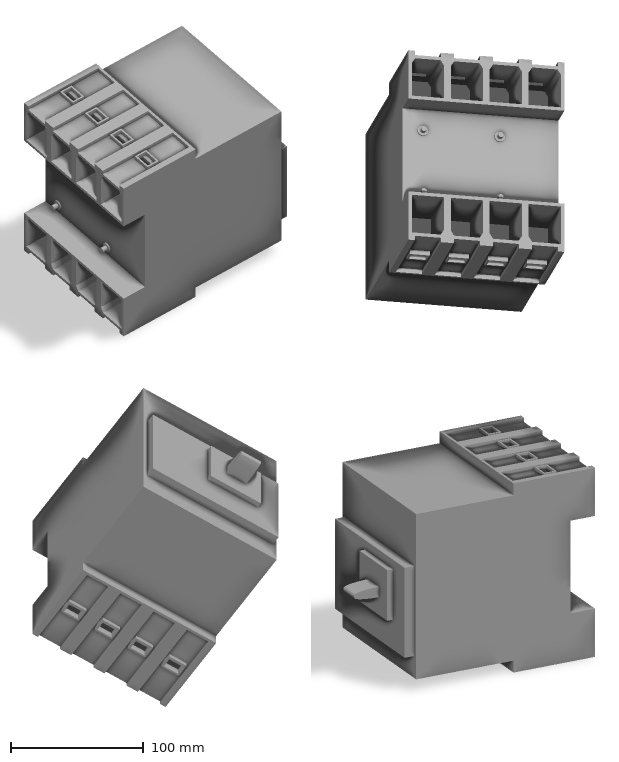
import cadquery as cq


TOTAL_LENGTH = 185.5
WIDTH = 120.0
BASE_HEIGHT = 153.0
BASE_DEPTH = 69.2

RECESS_HEIGHT = 75.0
RECESS_DEPTH = 20.6

POLE_COUNT = 4
POLE_PITCH = WIDTH / POLE_COUNT
WALL = 2.6
POCKET_WIDTH = POLE_PITCH - 2 * WALL
POCKET_DEPTH = 46.4
POCKET_CHAMFER_X = WALL
POCKET_CHAMFER_Z = 4.0

GROOVE_WIDTH = 20.0
GROOVE_DEPTH = 3.5
GROOVE_LENGTH = 67.2
GROOVE_FLOOR_Z = BASE_HEIGHT / 2 - GROOVE_DEPTH

WELL_WIDTH = 15.4
WELL_START = 28.8
WELL_END = 39.7
WELL_WALL = 1.37
WELL_INNER_WIDTH = WELL_WIDTH - 2 * WELL_WALL
WELL_LEDGE = 2.8

POCKET_OUTER_Z = GROOVE_FLOOR_Z - WALL
POCKET_INNER_Z = RECESS_HEIGHT / 2 + WALL

SCREW_SPACING_X = 59.2
SCREW_SPACING_Z = 50.1
SCREW_CENTRE_X = -15.0
SCREW_CENTRE_Z = -4.8
COLLAR_DIAMETER = 7.8
COLLAR_HEIGHT = 1.3
SHANK_DIAMETER = 4.0
SCREW_HEIGHT = 5.5

CASE_HEIGHT = 133.8
CASE_END = 151.8
COVER_THICKNESS = 2.0
COVER_LIP_HEIGHT = 16.9

BEZEL_WIDTH = 113.2
BEZEL_END = 159.8
BEZEL_TOP = 23.5
BEZEL_BOTTOM = -49.2
PAD_WIDTH = 44.9
PAD_END = 164.5
PAD_TOP = 16.0
PAD_BOTTOM = -25.0
HANDLE_WIDTH = 17.5
HANDLE_CENTRE_X = -15.0
HANDLE_CENTRE_Z = -6.5
HANDLE_ROOT_HALF = 4.3
HANDLE_SHOULDER_HALF = 3.3
HANDLE_SHOULDER_Y = 178.5
HANDLE_NOSE_HALF = 2.2
HANDLE_NOSE_Y = 183.7
SIDE_BULGE = 0.2
BEND_BULGE = 0.2


def block(width, y_start, y_end, z_bottom, z_top, x=0.0):
    """Box centred on x, between the given Y and Z limits."""
    lower_edge = cq.Workplane("XY", origin=(x, y_start, z_bottom))
    return lower_edge.box(width, y_end - y_start, z_top - z_bottom, centered=(True, False, False))


def mirrored_down(upper):
    """Copy of a shape reflected in the Z = 0 plane."""
    return upper.mirror("XY")


def pole_centres():
    """X positions of the poles, spread evenly about X = 0."""
    return [(i - (POLE_COUNT - 1) / 2) * POLE_PITCH for i in range(POLE_COUNT)]


def terminal_pocket(x, left_chamfer=True, right_chamfer=True):
    """Upper-row pocket open at Y = 0, with its outer corners cut off where asked."""
    half = POCKET_WIDTH / 2
    shoulder_z = POCKET_OUTER_Z - POCKET_CHAMFER_Z
    outline = [(x - half, POCKET_INNER_Z), (x + half, POCKET_INNER_Z)]
    if right_chamfer:
        outline += [(x + half, shoulder_z), (x + half - POCKET_CHAMFER_X, POCKET_OUTER_Z)]
    else:
        outline += [(x + half, POCKET_OUTER_Z)]
    if left_chamfer:
        outline += [(x - half + POCKET_CHAMFER_X, POCKET_OUTER_Z), (x - half, shoulder_z)]
    else:
        outline += [(x - half, POCKET_OUTER_Z)]
    return cq.Workplane("XZ").polyline(outline).close().extrude(-POCKET_DEPTH)


def groove(x):
    """Shallow channel in the upper face, open at Y = 0."""
    return block(GROOVE_WIDTH, 0, GROOVE_LENGTH, GROOVE_FLOOR_Z, BASE_HEIGHT / 2, x)


def well_rim(x):
    """Rectangular frame standing on the groove floor, as high as the base face."""
    top = BASE_HEIGHT / 2
    outer = block(WELL_WIDTH, WELL_START, WELL_END, GROOVE_FLOOR_Z, top, x)
    inner = block(WELL_INNER_WIDTH, WELL_START + WELL_WALL, WELL_END - WELL_WALL, GROOVE_FLOOR_Z, top, x)
    return outer.cut(inner)


def well_opening(x):
    """Opening inside the rim, down into the pocket, leaving a ledge on the operating side."""
    opening_end = WELL_END - WELL_WALL - WELL_LEDGE
    return block(WELL_INNER_WIDTH, WELL_START + WELL_WALL, opening_end, POCKET_OUTER_Z, GROOVE_FLOOR_Z, x)


def screw(x, z):
    """Collar and shank rising from the recess floor towards -Y."""
    floor = cq.Workplane("XZ", origin=(x, RECESS_DEPTH, z))
    collar = floor.circle(COLLAR_DIAMETER / 2).extrude(COLLAR_HEIGHT)
    return collar.union(floor.circle(SHANK_DIAMETER / 2).extrude(SCREW_HEIGHT))


def make_base():
    """Terminal base with two rows of pockets and its mounting screws."""
    base = block(WIDTH, 0, BASE_DEPTH, -BASE_HEIGHT / 2, BASE_HEIGHT / 2)
    base = base.cut(block(WIDTH, 0, RECESS_DEPTH, -RECESS_HEIGHT / 2, RECESS_HEIGHT / 2))
    for i, x in enumerate(pole_centres()):
        first = i == 0
        last = i == POLE_COUNT - 1
        base = base.cut(terminal_pocket(x))
        base = base.cut(mirrored_down(terminal_pocket(x, not first, not last)))
        base = base.cut(groove(x)).cut(mirrored_down(groove(x)))
        base = base.union(well_rim(x)).union(mirrored_down(well_rim(x)))
        base = base.cut(well_opening(x)).cut(mirrored_down(well_opening(x)))
    for side_x in (-1, 1):
        for side_z in (-1, 1):
            x = SCREW_CENTRE_X + side_x * SCREW_SPACING_X / 2
            z = SCREW_CENTRE_Z + side_z * SCREW_SPACING_Z / 2
            base = base.union(screw(x, z))
    return base


def make_cover():
    """Upper L-shaped cover: a plate over the core and a lip down its operating side."""
    top = CASE_HEIGHT / 2
    plate = block(WIDTH, BASE_DEPTH, CASE_END, top - COVER_THICKNESS, top)
    lip = block(WIDTH, CASE_END - COVER_THICKNESS, CASE_END, top - COVER_LIP_HEIGHT, top)
    return plate.union(lip)


def handle():
    """Tapered toggle with slightly bulging sides and a round tip."""
    side_y = (PAD_END + HANDLE_SHOULDER_Y) / 2
    side_half = (HANDLE_ROOT_HALF + HANDLE_SHOULDER_HALF) / 2 + SIDE_BULGE
    bend_y = (HANDLE_SHOULDER_Y + HANDLE_NOSE_Y) / 2
    bend_half = (HANDLE_SHOULDER_HALF + HANDLE_NOSE_HALF) / 2 + BEND_BULGE
    return (
        cq.Workplane("YZ", origin=(HANDLE_CENTRE_X - HANDLE_WIDTH / 2, 0, HANDLE_CENTRE_Z))
        .moveTo(PAD_END, HANDLE_ROOT_HALF)
        .threePointArc((side_y, side_half), (HANDLE_SHOULDER_Y, HANDLE_SHOULDER_HALF))
        .threePointArc((bend_y, bend_half), (HANDLE_NOSE_Y, HANDLE_NOSE_HALF))
        .threePointArc((TOTAL_LENGTH, 0), (HANDLE_NOSE_Y, -HANDLE_NOSE_HALF))
        .threePointArc((bend_y, -bend_half), (HANDLE_SHOULDER_Y, -HANDLE_SHOULDER_HALF))
        .threePointArc((side_y, -side_half), (PAD_END, -HANDLE_ROOT_HALF))
        .close()
        .extrude(HANDLE_WIDTH)
    )


def make_core(covers):
    """Breaker core seated inside the covers, with its bezel, pad and handle."""
    core = block(WIDTH, BASE_DEPTH, CASE_END, -CASE_HEIGHT / 2, CASE_HEIGHT / 2)
    for cover in covers:
        core = core.cut(cover)
    bezel = block(BEZEL_WIDTH, CASE_END, BEZEL_END, BEZEL_BOTTOM, BEZEL_TOP)
    pad = block(PAD_WIDTH, BEZEL_END, PAD_END, PAD_BOTTOM, PAD_TOP, HANDLE_CENTRE_X)
    return core.union(bezel).union(pad).union(handle())


base = make_base()
upper_cover = make_cover()
covers = [upper_cover, mirrored_down(upper_cover)]
core = make_core(covers)

result = cq.Compound.makeCompound([base.val(), core.val(), *[cover.val() for cover in covers]])